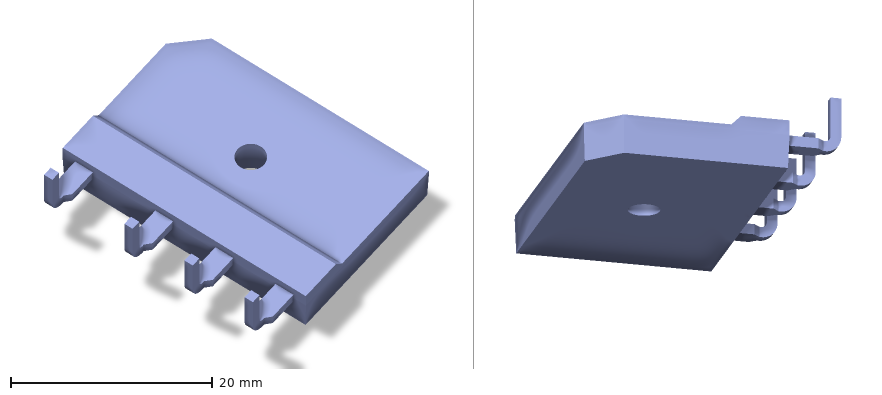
import cadquery as cq
import math

BODY_WIDTH = 30.3
BODY_DEPTH = 20.27
CORNER_CUT = 3.27
BASE_HEIGHT = 4.03
STEP_HEIGHT = 5.03
PARTING_HEIGHT = 3.48
LOWER_DRAFT_ANGLE = 2.0
UPPER_DRAFT_ANGLE = 0.7

STEP_TOP_DEPTH = 4.97
STEP_FOOT_DEPTH = 5.97

HOLE_DIAMETER = 3.25
HOLE_SETBACK = 10.97

LEAD_CENTERS = (-12.48, -2.48, 5.0, 12.48)
LEAD_THICKNESS = 1.1
LEAD_TOP = 8.7
LEAD_UNDERSIDE = 2.95
LEAD_REACH = 5.88
LEAD_WIDTH = 2.2
TIP_WIDTH = 1.03
TAPER_START = 3.35
TAPER_END = 4.03
INNER_BEND_RADIUS = 0.55
EMBEDDED_LENGTH = 0.9


def make_body():
    """Body drafted both ways from the parting plane, with the step left standing at the front."""
    half_width = BODY_WIDTH / 2
    outline = [
        (-half_width, 0),
        (half_width, 0),
        (half_width, BODY_DEPTH),
        (-half_width + CORNER_CUT, BODY_DEPTH),
        (-half_width, BODY_DEPTH - CORNER_CUT),
    ]
    parting_plane = cq.Workplane("XY", origin=(0, 0, PARTING_HEIGHT))
    lower = parting_plane.polyline(outline).close().extrude(-PARTING_HEIGHT, taper=LOWER_DRAFT_ANGLE)
    upper_height = STEP_HEIGHT - PARTING_HEIGHT
    upper = parting_plane.polyline(outline).close().extrude(upper_height, taper=UPPER_DRAFT_ANGLE)

    side_profile = [
        (0, 0),
        (BODY_DEPTH, 0),
        (BODY_DEPTH, BASE_HEIGHT),
        (STEP_FOOT_DEPTH, BASE_HEIGHT),
        (STEP_TOP_DEPTH, STEP_HEIGHT),
        (0, STEP_HEIGHT),
    ]
    stepped = cq.Workplane("YZ").polyline(side_profile).close().extrude(half_width, both=True)
    hole = cq.Workplane("XY").center(0, HOLE_SETBACK).circle(HOLE_DIAMETER / 2).extrude(STEP_HEIGHT)
    return lower.union(upper).intersect(stepped).cut(hole)


def make_lead(center_x):
    """Flat lead that narrows ahead of a bend and then stands upright."""
    outer_radius = INNER_BEND_RADIUS + LEAD_THICKNESS
    bend_y = outer_radius - LEAD_REACH
    bend_z = LEAD_UNDERSIDE + outer_radius
    diagonal = math.sqrt(0.5)
    bent_strip = (
        cq.Workplane("YZ", origin=(center_x, 0, 0))
        .moveTo(EMBEDDED_LENGTH, LEAD_UNDERSIDE)
        .lineTo(bend_y, LEAD_UNDERSIDE)
        .threePointArc(
            (bend_y - outer_radius * diagonal, bend_z - outer_radius * diagonal),
            (-LEAD_REACH, bend_z),
        )
        .lineTo(-LEAD_REACH, LEAD_TOP)
        .lineTo(-LEAD_REACH + LEAD_THICKNESS, LEAD_TOP)
        .lineTo(-LEAD_REACH + LEAD_THICKNESS, bend_z)
        .threePointArc(
            (bend_y - INNER_BEND_RADIUS * diagonal, bend_z - INNER_BEND_RADIUS * diagonal),
            (bend_y, LEAD_UNDERSIDE + LEAD_THICKNESS),
        )
        .lineTo(EMBEDDED_LENGTH, LEAD_UNDERSIDE + LEAD_THICKNESS)
        .close()
        .extrude(LEAD_WIDTH / 2, both=True)
    )

    plan_outline = [
        (LEAD_WIDTH / 2, EMBEDDED_LENGTH),
        (LEAD_WIDTH / 2, -TAPER_START),
        (TIP_WIDTH / 2, -TAPER_END),
        (TIP_WIDTH / 2, -LEAD_REACH),
        (-TIP_WIDTH / 2, -LEAD_REACH),
        (-TIP_WIDTH / 2, -TAPER_END),
        (-LEAD_WIDTH / 2, -TAPER_START),
        (-LEAD_WIDTH / 2, EMBEDDED_LENGTH),
    ]
    plan = cq.Workplane("XY", origin=(center_x, 0, 0)).polyline(plan_outline).close().extrude(LEAD_TOP)
    return bent_strip.intersect(plan)


result = make_body()
for lead_center in LEAD_CENTERS:
    result = result.union(make_lead(lead_center))